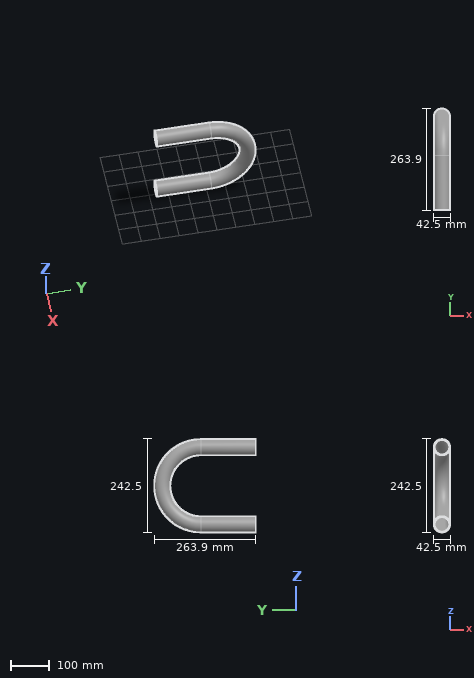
import cadquery as cq

overall_length = 263.9
outer_diameter = 42.5
inner_diameter = 37.5
bend_radius = 100.0

leg_length = overall_length - bend_radius - outer_diameter / 2

centreline = (
    cq.Workplane("YZ")
    .moveTo(-leg_length, -bend_radius)
    .lineTo(0, -bend_radius)
    .threePointArc((bend_radius, 0), (0, bend_radius))
    .lineTo(-leg_length, bend_radius)
)

result = (
    cq.Workplane("XZ", origin=(0, -leg_length, -bend_radius))
    .circle(outer_diameter / 2)
    .circle(inner_diameter / 2)
    .sweep(centreline)
)